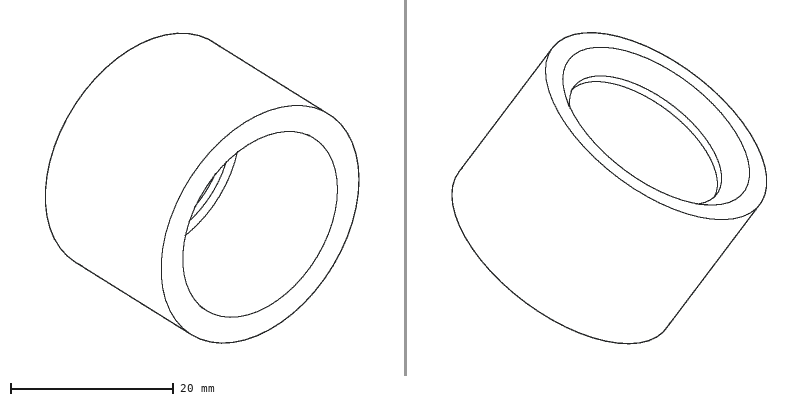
import cadquery as cq

length = 22.0
outer_diameter = 32.0
throat_diameter = 22.0
bore_diameter = 25.0
mouth_chamfer = 2.5
throat_length = 1.0

outer_radius = outer_diameter / 2
throat_radius = throat_diameter / 2
bore_radius = bore_diameter / 2
mouth_radius = throat_radius + mouth_chamfer

front_x = -length / 2
back_x = length / 2
throat_start_x = front_x + mouth_chamfer
throat_end_x = throat_start_x + throat_length


def make_sleeve():
    """Revolve the wall section about X: chamfered mouth, narrow throat, wider rear bore."""
    wall_section = [
        (front_x, outer_radius),
        (back_x, outer_radius),
        (back_x, bore_radius),
        (throat_end_x, bore_radius),
        (throat_end_x, throat_radius),
        (throat_start_x, throat_radius),
        (front_x, mouth_radius),
    ]
    axis_start = (0, 0, 0)
    axis_end = (1, 0, 0)
    return cq.Workplane("XY").polyline(wall_section).close().revolve(360, axis_start, axis_end)


result = make_sleeve()